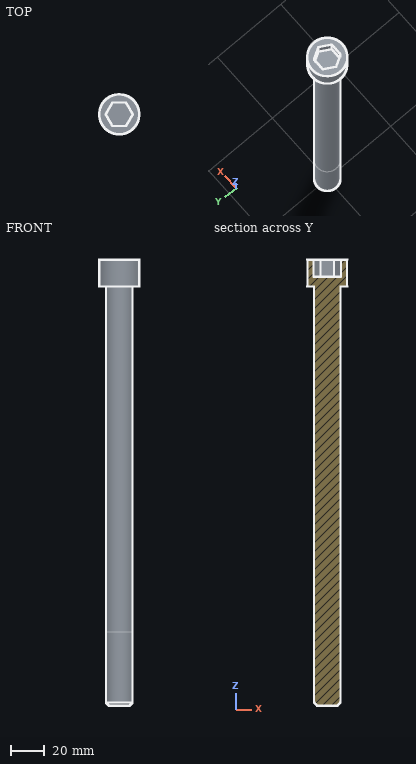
import cadquery as cq
import math

shank_diameter = 16.0
shank_length = 250.0
thread_length = 44.0
tip_chamfer = 2.0

head_diameter = 1.5 * shank_diameter
head_height = shank_diameter

hexagon_sides = 6
socket_across_flats = 14.0
socket_across_corners = socket_across_flats / math.cos(math.pi / hexagon_sides)
socket_depth = 10.0

plain_length = shank_length - thread_length


def make_head():
    return cq.Workplane("XY").circle(head_diameter / 2).extrude(head_height)


def make_shank_section(top, length):
    """Cylinder of the shank diameter reaching down from the height `top`."""
    return cq.Workplane("XY").workplane(offset=top).circle(shank_diameter / 2).extrude(-length)


def make_threaded_end():
    """Threaded length, modelled smooth, with its chamfered tip."""
    section = make_shank_section(-plain_length, thread_length)
    return section.faces("<Z").edges().chamfer(tip_chamfer)


def make_socket():
    """Hexagonal prism that is cut into the top of the head."""
    head_top = cq.Workplane("XY").workplane(offset=head_height)
    return head_top.polygon(hexagon_sides, socket_across_corners).extrude(-socket_depth)


result = make_head().union(make_shank_section(0, plain_length))
result = result.union(make_threaded_end(), clean=False)
result = result.cut(make_socket(), clean=False)